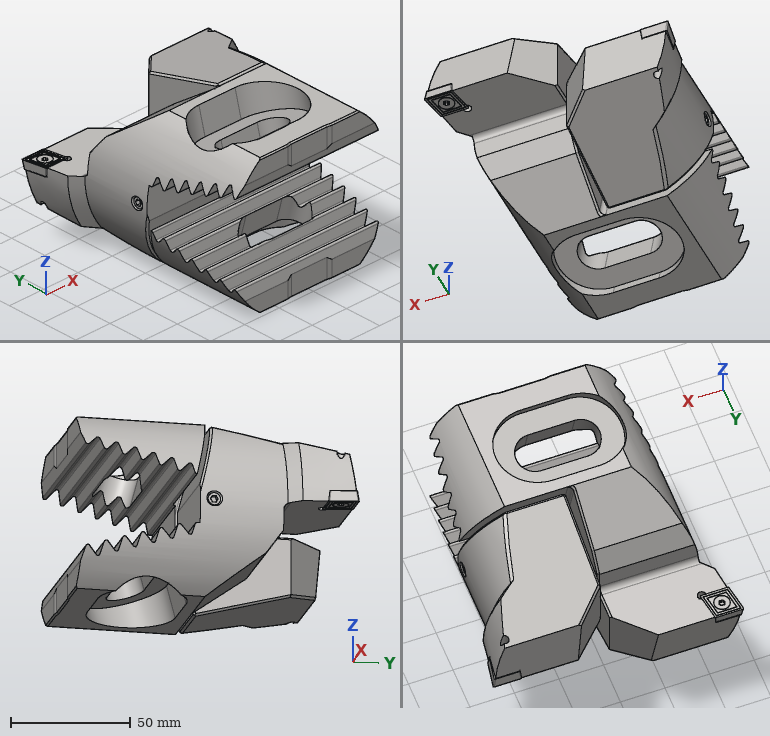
import cadquery as cq
import math


overall_length = 115.8
body_radius = 47.1
half_height = 37.58
taper_angle = 15.0
taper = math.tan(math.radians(taper_angle))
reach = 2 * overall_length

head_end = 115.5
head_end_radius = 55.1
flare_start = 87.1
flare_knee = 92.4
flare_knee_radius = 52.0
end_face_relief = 0.112

slot_half_width = 2.03
throat_start = 99.5
gap_fillet = 2.1
edge_break = 0.9

opening_depth = 49.6
roof_start = 55.6
gap_knee_height = 6.5
tooth_count = 6
tooth_pitch = 8.0
tooth_round = 0.9
first_valley_y = 46.1
first_valley_z = 16.5
jaw_root_z = 10.7
tip_chamfer = 0.7

tip_relief_half_width = 12.9
tip_relief_floor_half_width = 10.3
tip_relief_depth = 0.5

leg_wall_y = 85.5
leg_wall_top = 11.7
leg_knee_y = 79.1
leg_knee_z = 20.7
leg_fillet = 2.7

clamp_slot_x = -5.7
clamp_slot_y = 31.3
clamp_slot_straight = 21.1
clamp_seat_radius = 18.3
clamp_hole_radius = 8.3
clamp_seat_depth = 9.5

insert_side = 12.9
insert_thickness = 4.7
insert_skew = 10.0
insert_clearance = 7.0
insert_nose_radius = 0.5
insert_tip_x = -56.3
chip_lip = 0.9
chip_groove_width = 1.2
chip_groove_depth = 0.3
relief_hole_radius = 1.9
relief_hole_x = -42.0
relief_hole_y = 103.2

screw_head_radius = 3.5
screw_head_depth = 2.3
screw_recess = 0.2
screw_shank_radius = 1.7
screw_length = 11.6
screw_socket_radius = 1.4
screw_lobe_radius = 0.5
screw_socket_depth = 1.4

set_screw_y = 55.6
set_screw_radius = 2.7
set_screw_length = 9.3
set_screw_recess = 0.7
set_screw_socket_radius = 1.6
set_screw_socket_depth = 2.3

skew = math.radians(insert_skew)
insert_mid_x = insert_tip_x + insert_side * (1 + math.sin(skew)) / 2
insert_mid_y = overall_length - insert_side * math.cos(skew) / 2


def prism_along_x(points, x_from, x_to):
    """Prism of a Y-Z polygon between two X places."""
    return cq.Workplane("YZ").workplane(offset=x_from).polyline(points).close().extrude(x_to - x_from)


def envelope():
    """Outer shape that both holders share: turned blank with flats, tapered roofs and end faces."""
    blank = (
        cq.Workplane("XY")
        .polyline([
            (0, 0), (-body_radius, 0), (-body_radius, flare_start), (-flare_knee_radius, flare_knee),
            (-head_end_radius, head_end), (0, head_end),
        ])
        .close()
        .revolve(360, (0, 0), (0, 1))
    )
    end_height = (half_height - (head_end - roof_start) * taper) / (1 - end_face_relief * taper)
    end_y = head_end - end_face_relief * end_height
    side_outline = [
        (0, -half_height), (roof_start, -half_height), (end_y, -end_height), (head_end, 0),
        (end_y, end_height), (roof_start, half_height), (0, half_height),
    ]
    return blank.intersect(prism_along_x(side_outline, -reach, reach))


def serrated_bar():
    """Bar across the whole width with 60 degree serrations along its tapered inner side."""
    along_y = -math.cos(math.radians(taper_angle))
    along_z = math.sin(math.radians(taper_angle))
    tooth_height = tooth_pitch * math.sin(math.radians(60))
    first_crest_rise = along_y * tooth_height - along_z * tooth_pitch / 2
    first_crest_step = -along_y * tooth_pitch / 2 - along_z * tooth_height
    root_share = (jaw_root_z - first_valley_z) / first_crest_rise
    root_y = first_valley_y + root_share * first_crest_step

    teeth = [(root_y, jaw_root_z), (first_valley_y, first_valley_z)]
    for index in range(1, tooth_count + 1):
        valley_y = first_valley_y + index * tooth_pitch * along_y
        valley_z = first_valley_z + index * tooth_pitch * along_z
        teeth += [(valley_y + first_crest_step, valley_z + first_crest_rise), (valley_y, valley_z)]
    outline = teeth + [
        (teeth[-1][0], half_height), (overall_length, half_height), (overall_length, jaw_root_z),
    ]
    wire = cq.Wire.makePolygon([cq.Vector(-reach, y, z) for y, z in outline], close=True)
    face = cq.Face.makeFromWires(wire)
    tooth_corners = [
        corner for corner in face.Vertices()
        if any(math.hypot(corner.Y - y, corner.Z - z) < 0.01 for y, z in teeth)
    ]
    face = face.fillet2D(tooth_round, tooth_corners)
    return cq.Workplane(cq.Solid.extrudeLinear(face, cq.Vector(2 * reach, 0, 0)))


def jaw():
    """Upper jaw: it ends at the gap face beside the slot and runs on into the leg."""
    bar = serrated_bar()
    gap_face_foot = roof_start - half_height * taper
    beside_gap = [(-reach, half_height), (roof_start, half_height), (gap_face_foot, 0), (-reach, 0)]
    free_part = bar.intersect(prism_along_x(beside_gap, -slot_half_width, reach))
    leg_side = [(-reach, half_height), (roof_start, half_height), (roof_start, 0), (-reach, 0)]
    leg_part = bar.intersect(prism_along_x(leg_side, -reach, -slot_half_width))
    return free_part.union(leg_part)


def leg_with_head():
    """Leg beside the slot, carrying the cutter head below Z = 0."""
    gap_knee_y = opening_depth
    gap_end_y = gap_knee_y + (half_height - gap_knee_height) * taper
    return (
        cq.Workplane("YZ")
        .workplane(offset=-reach)
        .moveTo(gap_knee_y, -gap_knee_height)
        .lineTo(gap_end_y, -half_height)
        .lineTo(overall_length, -half_height)
        .lineTo(overall_length, 0)
        .lineTo(leg_wall_y + leg_fillet, 0)
        .radiusArc((leg_wall_y, leg_fillet), leg_fillet)
        .lineTo(leg_wall_y, leg_wall_top)
        .lineTo(leg_knee_y, leg_knee_z)
        .lineTo(roof_start, half_height)
        .lineTo(opening_depth, half_height)
        .close()
        .extrude(reach - slot_half_width)
    )


def throat():
    """Wedge that opens the slot at 45 degrees towards the head end."""
    length = overall_length - throat_start
    return (
        cq.Workplane("XY")
        .workplane(offset=-reach / 2)
        .polyline([
            (-slot_half_width, throat_start), (-slot_half_width - length, overall_length),
            (-slot_half_width, overall_length),
        ])
        .close()
        .extrude(reach)
    )


def clamp_slot():
    """Seat and smaller through hole of the clamping slot, square to the serrations."""
    tilt = math.radians(taper_angle)
    plane = cq.Plane(
        origin=(clamp_slot_x, clamp_slot_y, half_height), xDir=(1, 0, 0),
        normal=(0, math.sin(tilt), math.cos(tilt)),
    )
    seat_length = clamp_slot_straight + 2 * clamp_seat_radius
    hole_length = clamp_slot_straight + 2 * clamp_hole_radius
    seat = (
        cq.Workplane(plane).workplane(offset=-clamp_seat_depth)
        .slot2D(seat_length, 2 * clamp_seat_radius).extrude(2 * clamp_seat_depth)
    )
    hole = (
        cq.Workplane(plane).workplane(offset=-half_height)
        .slot2D(hole_length, 2 * clamp_hole_radius).extrude(half_height)
    )
    return seat.union(hole)


def tip_relief():
    """Shallow relief with slanted ends in the middle of the jaw tip."""
    return (
        cq.Workplane("XY")
        .polyline([
            (-tip_relief_half_width, 0), (-tip_relief_floor_half_width, tip_relief_depth),
            (tip_relief_floor_half_width, tip_relief_depth), (tip_relief_half_width, 0),
        ])
        .close()
        .extrude(half_height)
    )


def near(value, target):
    return abs(value - target) < 0.02


def on_slot_wall(point):
    return near(point.x, -slot_half_width)


def in_jaw_corner(point):
    return on_slot_wall(point) and near(point.y, roof_start - (half_height - point.z) * taper)


def on_head_roof(point):
    """Roof of the head apart from its end and its flare."""
    on_roof = near(point.z, (point.y - roof_start) * taper - half_height)
    beside_slot = point.x > -slot_half_width - overall_length + throat_start
    return on_roof and (beside_slot or point.y < flare_start + 0.01)


def on_head_rear(point):
    return near(point.y, opening_depth - (point.z + gap_knee_height) * taper)


def on_leg_back(point):
    return on_slot_wall(point) and point.y > roof_start and point.z > leg_fillet - 0.01


def on_jaw_tip(point):
    return near(point.z, half_height) and point.y < tip_relief_depth + 0.01


def edges_on(shape, rule):
    """Edges whose two ends and middle all keep to the rule."""
    return [
        edge for edge in shape.edges().vals()
        if all(rule(edge.positionAt(place)) for place in (0, 0.5, 1))
    ]


def break_edges(shape, rule, size):
    return shape.newObject(edges_on(shape, rule)).chamfer(size)


def break_upright_edges(shape, rule, size):
    """Break the edges on a face, leaving out those that run level."""
    upright = [edge for edge in edges_on(shape, rule) if edge.BoundingBox().zlen > 1.2]
    return shape.newObject(upright).chamfer(size)


def rhombus(inset):
    """Insert outline in the plane Z = 0, moved inwards by the inset."""
    side = insert_side - 2 * inset / math.cos(skew)
    lean_x = side * math.sin(skew)
    lean_y = side * math.cos(skew)
    return (
        cq.Workplane("XY")
        .center(insert_mid_x, insert_mid_y)
        .polyline([
            (-(side + lean_x) / 2, lean_y / 2), ((side - lean_x) / 2, lean_y / 2),
            ((side + lean_x) / 2, -lean_y / 2), ((lean_x - side) / 2, -lean_y / 2),
        ])
        .close()
    )


def insert_blank():
    """Solid rhombus with tapered sides; it is also the shape of the insert pocket."""
    blank = rhombus(0).extrude(-insert_thickness, taper=insert_clearance)
    return blank.edges("not(#Z)").edges("not(|X)").edges("not(|Y)").fillet(insert_nose_radius)


def insert_screw_blank():
    """Countersunk screw without its socket, with the free space above its head."""
    return (
        cq.Workplane("XZ")
        .polyline([
            (0, 0), (screw_head_radius, 0), (screw_head_radius, -screw_recess),
            (screw_shank_radius, -screw_recess - screw_head_depth),
            (screw_shank_radius, -screw_length), (0, -screw_length),
        ])
        .close()
        .revolve(360, (0, 0), (0, 1))
        .translate((insert_mid_x, insert_mid_y, 0))
    )


def cutting_insert():
    groove = rhombus(chip_lip).extrude(-chip_groove_depth)
    groove = groove.cut(rhombus(chip_lip + chip_groove_width).extrude(-chip_groove_depth))
    return insert_blank().cut(groove).cut(insert_screw_blank())


def insert_screw():
    """Countersunk screw with a six-lobed socket."""
    top = cq.Workplane("XY").workplane(offset=-screw_recess).center(insert_mid_x, insert_mid_y)
    socket = top.circle(screw_socket_radius - screw_lobe_radius / 2).extrude(-screw_socket_depth)
    lobes = (
        top.polarArray(screw_socket_radius - screw_lobe_radius, 0, 360, 6)
        .circle(screw_lobe_radius).extrude(-screw_socket_depth)
    )
    head_space = top.circle(2 * screw_head_radius).extrude(screw_recess)
    return insert_screw_blank().cut(head_space).cut(socket).cut(lobes)


def leg_side(depth):
    """Workplane facing the leg's outer side at the set screw, a depth below its surface."""
    return cq.Workplane("YZ").workplane(offset=depth - body_radius).center(set_screw_y, 0)


def set_screw():
    screw = leg_side(set_screw_recess).circle(set_screw_radius).extrude(set_screw_length)
    socket = leg_side(set_screw_recess).polygon(6, 2 * set_screw_socket_radius).extrude(set_screw_socket_depth)
    return screw.cut(socket)


def set_screw_hole():
    hole = leg_side(0).circle(set_screw_radius).extrude(set_screw_recess + set_screw_length)
    countersink = (
        leg_side(0).circle(set_screw_radius + set_screw_recess)
        .workplane(offset=set_screw_recess).circle(set_screw_radius).loft()
    )
    return hole.union(countersink)


def holder():
    body = leg_with_head().union(jaw()).intersect(envelope()).cut(throat())
    body = body.newObject(edges_on(body, in_jaw_corner)).fillet(gap_fillet)
    body = break_edges(body, on_head_roof, edge_break)
    body = break_upright_edges(body, on_head_rear, edge_break)
    body = break_edges(body, on_leg_back, edge_break)
    body = body.cut(tip_relief())
    body = break_edges(body, on_jaw_tip, tip_chamfer)
    relief_hole = (
        cq.Workplane("XY").center(relief_hole_x, relief_hole_y)
        .circle(relief_hole_radius).extrude(-insert_thickness)
    )
    screw_hole = (
        cq.Workplane("XY").center(insert_mid_x, insert_mid_y)
        .circle(screw_shank_radius).extrude(-half_height)
    )
    for cutter in (clamp_slot(), insert_blank(), relief_hole, screw_hole, set_screw_hole()):
        body = body.cut(cutter)
    return body


bodies = []
for body in (holder(), cutting_insert(), insert_screw(), set_screw()):
    for turn in (0, 180):
        bodies.append(body.rotate((0, 0, 0), (0, 1, 0), turn).val())

result = cq.Compound.makeCompound(bodies)